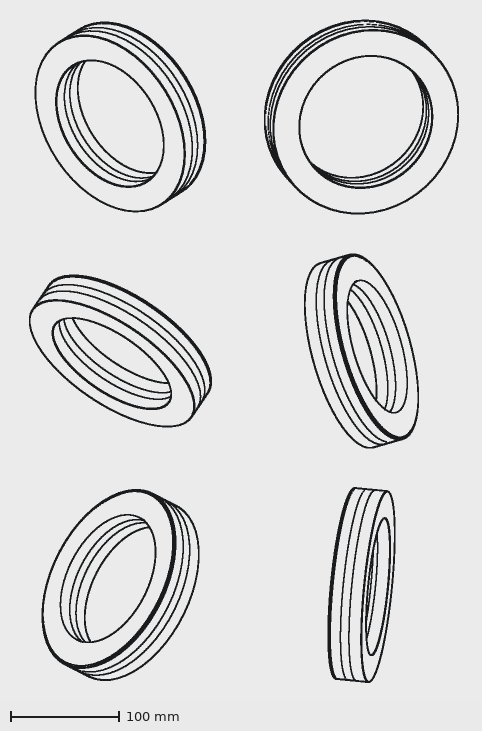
import cadquery as cq

OUTER_DIAMETER = 177.8
BORE_DIAMETER = 127.0
TOTAL_WIDTH = 31.8

FRONT_RING_WIDTH = 12.0
HOUSING_BACK_Y = 31.3
RIM_INNER_DIAMETER = 176.7
EDGE_CHAMFER = 0.5

WASHER_DIAMETER = 176.4
WASHER_BACK_DIAMETER = 173.7
WASHER_WIDTH = 12.0
BEVEL_LENGTH = 2.3

outer_r = OUTER_DIAMETER / 2
bore_r = BORE_DIAMETER / 2
rim_inner_r = RIM_INNER_DIAMETER / 2


def revolve_about_y(profile_points):
    """Full revolution of a closed (radius, y) profile about the Y axis."""
    profile = cq.Workplane("XY").polyline(profile_points).close()
    return profile.revolve(360, (0, 0, 0), (0, 1, 0))


def make_housing():
    """Front ring and rim, with bevelled front edges and a bevelled rim end."""
    return revolve_about_y([
        (bore_r + EDGE_CHAMFER, 0),
        (outer_r - EDGE_CHAMFER, 0),
        (outer_r, EDGE_CHAMFER),
        (outer_r, HOUSING_BACK_Y - EDGE_CHAMFER),
        (rim_inner_r, HOUSING_BACK_Y),
        (rim_inner_r, FRONT_RING_WIDTH),
        (bore_r, FRONT_RING_WIDTH),
        (bore_r, EDGE_CHAMFER),
    ])


def make_washer():
    """Flat ring behind the open gap, tapered at its outer back edge."""
    washer_r = WASHER_DIAMETER / 2
    front_y = TOTAL_WIDTH - WASHER_WIDTH
    return revolve_about_y([
        (bore_r, front_y),
        (washer_r, front_y),
        (washer_r, TOTAL_WIDTH - BEVEL_LENGTH),
        (WASHER_BACK_DIAMETER / 2, TOTAL_WIDTH),
        (bore_r, TOTAL_WIDTH),
    ])


housing = make_housing()
washer = make_washer()

result = cq.Compound.makeCompound([housing.val(), washer.val()])